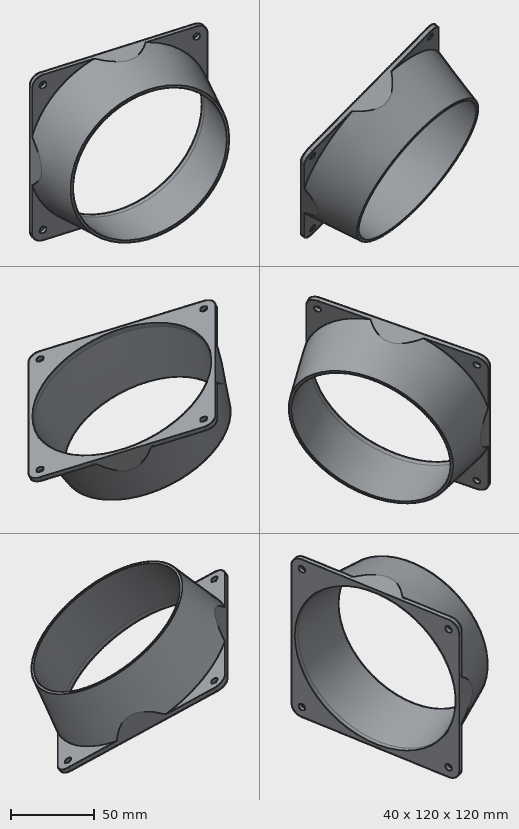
import cadquery as cq

plate_side = 120.0
plate_thickness = 3.0
corner_radius = 7.5
screw_spacing = 105.0
screw_diameter = 4.5

total_depth = 40.0
duct_length = total_depth - plate_thickness
outer_base_radius = 62.5
outer_end_radius = 54.2
bore_base_radius = 57.5
bore_end_radius = 52.5


def make_plate():
    """Rounded square plate with a screw hole near each corner."""
    return (
        cq.Workplane("YZ")
        .rect(plate_side, plate_side)
        .extrude(plate_thickness)
        .edges("|X")
        .fillet(corner_radius)
        .faces("<X")
        .workplane()
        .rect(screw_spacing, screw_spacing, forConstruction=True)
        .vertices()
        .hole(screw_diameter)
    )


def make_cone(base_radius, end_radius):
    """Solid cone frustum from the back of the plate to the duct end."""
    return (
        cq.Workplane("YZ", origin=(plate_thickness, 0, 0))
        .circle(base_radius)
        .workplane(offset=duct_length)
        .circle(end_radius)
        .loft()
    )


def make_duct():
    """Outer cone trimmed flush with the four sides of the plate."""
    trim = cq.Workplane("YZ").rect(plate_side, plate_side).extrude(total_depth)
    return make_cone(outer_base_radius, outer_end_radius).intersect(trim)


def make_bore():
    """Straight opening through the plate, then a taper through the duct."""
    opening = cq.Workplane("YZ").circle(bore_base_radius).extrude(plate_thickness)
    return opening.union(make_cone(bore_base_radius, bore_end_radius))


result = make_plate().union(make_duct()).cut(make_bore())